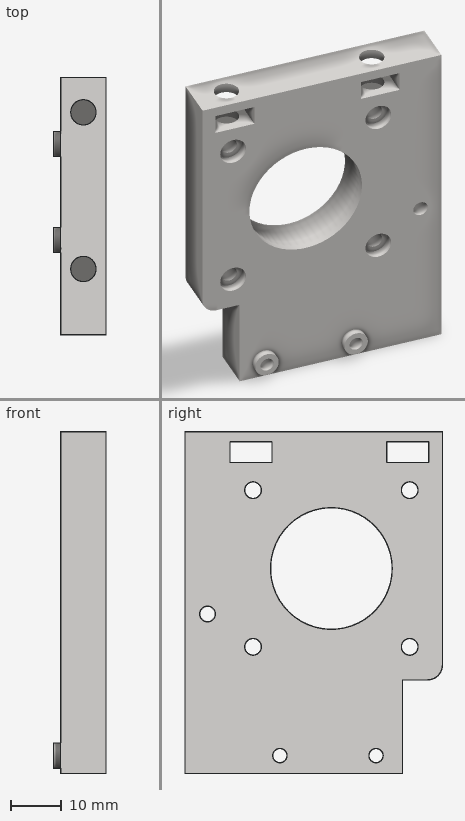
import cadquery as cq

thickness = 9.0
width = 50.9
height = 67.6

notched_side_y = 22.0
straight_side_y = notched_side_y - width
notch_width = 7.9
notch_height = 18.5
corner_radius = 3.0

motor_axis_height = 40.55
motor_bore_diameter = 24.0
motor_hole_spacing = 30.95
motor_hole_diameter = 3.25
motor_counterbore_diameter = 5.5
motor_counterbore_depth = 2.0

side_hole_y = -24.5
side_hole_height = 31.6
side_hole_diameter = 3.05

boss_length = 1.4
boss_diameter = 5.0
boss_hole_diameter = 2.8
boss_spacing = 19.0
boss_middle_y = -0.7
boss_height = 3.6

slot_width = 8.25
slot_height = 4.05
slot_top_gap = 2.0
slot_spacing = motor_hole_spacing
slot_middle_y = -0.4
screw_hole_diameter = 5.0
screw_hole_depth = 8.0


def x_cylinder(diameter, y, z, x_start, x_end):
    """Cylinder along X between two X positions."""
    circle = cq.Workplane("YZ", origin=(x_start, y, z)).circle(diameter / 2)
    return circle.extrude(x_end - x_start)


def pair(middle, spacing):
    """Two positions spread evenly about a middle."""
    return (middle - spacing / 2, middle + spacing / 2)


def make_plate():
    """Plate with a notch in the lower +Y corner, rounded where the notch meets the side."""
    block = (
        cq.Workplane("XY")
        .box(thickness, width, height, centered=False)
        .translate((0, straight_side_y, 0))
    )
    notch = (
        cq.Workplane("XY")
        .box(thickness, notch_width, notch_height, centered=False)
        .translate((0, notched_side_y - notch_width, 0))
    )
    corner = cq.selectors.NearestToPointSelector((thickness / 2, notched_side_y, notch_height))
    return block.cut(notch).edges("|X").edges(corner).fillet(corner_radius)


def cut_motor_holes(body):
    """Central bore and four holes counterbored from the -X face."""
    body = body.cut(x_cylinder(motor_bore_diameter, 0, motor_axis_height, 0, thickness))
    for y in pair(0, motor_hole_spacing):
        for z in pair(motor_axis_height, motor_hole_spacing):
            body = body.cut(x_cylinder(motor_hole_diameter, y, z, 0, thickness))
            body = body.cut(x_cylinder(motor_counterbore_diameter, y, z, 0, motor_counterbore_depth))
    return body


def cut_side_hole(body):
    """Plain hole through the thickness."""
    return body.cut(x_cylinder(side_hole_diameter, side_hole_y, side_hole_height, 0, thickness))


def add_bosses(body):
    """Round bosses on the -X face, drilled through with the plate."""
    for y in pair(boss_middle_y, boss_spacing):
        body = body.union(x_cylinder(boss_diameter, y, boss_height, -boss_length, thickness))
        body = body.cut(x_cylinder(boss_hole_diameter, y, boss_height, -boss_length, thickness))
    return body


def cut_nut_slots(body):
    """Rectangular slots through the thickness, each crossed by a blind hole from the top."""
    slot_middle_height = height - slot_top_gap - slot_height / 2
    for y in pair(slot_middle_y, slot_spacing):
        slot = cq.Workplane("XY").box(thickness, slot_width, slot_height)
        body = body.cut(slot.translate((thickness / 2, y, slot_middle_height)))
        screw_hole = (
            cq.Workplane("XY", origin=(thickness / 2, y, height))
            .circle(screw_hole_diameter / 2)
            .extrude(-screw_hole_depth)
        )
        body = body.cut(screw_hole)
    return body


result = make_plate()
result = cut_motor_holes(result)
result = cut_side_hole(result)
result = add_bosses(result)
result = cut_nut_slots(result)